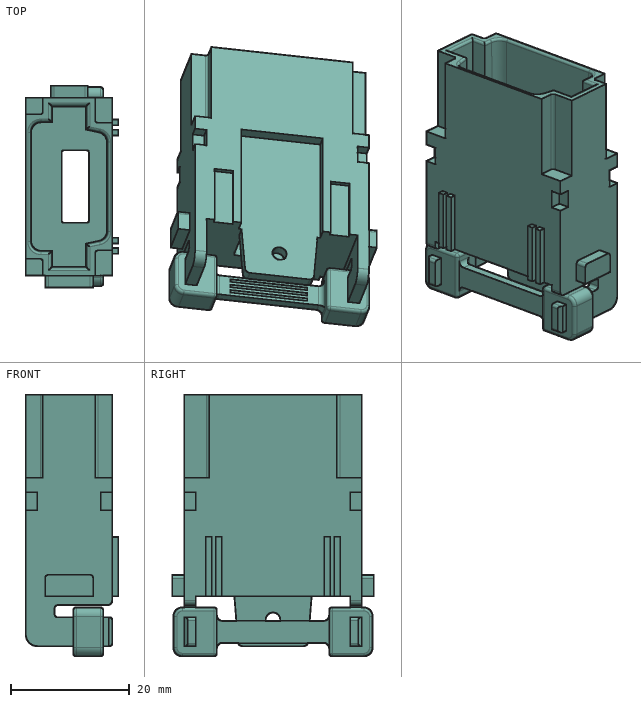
import cadquery as cq

body_x = 14.6
body_y = 30.0
height = 44.1
overall_y = 34.0
half_y = body_y / 2
body_bottom = 10.15
wall = 2.0
lug_reach = (overall_y - body_y) / 2
leg_bottom = 1.7
edge_radius = 0.57

step_z = 30.1
step_x = 2.9
step_y_left = 2.82
step_y_right = 4.25
step_radius = 0.5

floor_z = step_z
cavity_left = 0.75
cavity_right = body_x - cavity_left
arm_left = 4.28
arm_right = 10.3
arm_half_y = 13.65
shoulder_left_y = 11.0
shoulder_right_y = 9.75
shoulder_right_drop = 0.75
cavity_radius = 1.8
cavity_draft = 0.18
rim_radius = 0.45

window_left = 6.1
window_right = 10.65
window_y = 12.15
window_radius = 0.3

notch_size = wall
notch_bottom = 24.6
notch_top = 27.65

recess_depth = 2.1
recess_y = 14.02
recess_top = 28.5
guide_top = 20.15
pocket_inner_y = 8.4
pocket_outer_y = 11.65
pocket_depth = 0.8
rib_inner_ys = (8.6, 10.3)
rib_width = 1.0
rib_height = 1.0

lug_top = 13.75
front_lug_left = 3.25
front_lug_right = 11.38
back_lug_left = 4.2
back_lug_right = 10.5

slot_left = 4.9
slot_bottom = 6.6
slot_top = 8.65
slot_radius = 0.55
leg_heel_radius = 2.0
wall_corner_radius = 0.8
leg_tip_radius = 0.5
leg_lead_in = 0.6

tongue_thickness = 2.0
tongue_top_half_y = 6.53
tongue_bottom_half_y = 5.85
tongue_corner_radius = 0.8
tongue_hole_z = 6.17
tongue_hole_diameter = 2.43

block_left = 8.0
block_right = 13.1
block_height = 8.3
block_reach = 1.8
block_outer_y = half_y + block_reach
block_inner_y = 9.45
block_radius = 1.55
bar_left = 10.9
bar_right = block_right - edge_radius
bar_z = block_height / 2
bar_height = 3.75
bar_fillet = 0.9
grip_half_y = 6.6
grip_pitch = 1.05
grip_radius = 0.243


def box(x0, x1, y0, y1, z0, z1):
    """Box between two corners."""
    return cq.Workplane("XY").box(x1 - x0, y1 - y0, z1 - z0, centered=False).translate((x0, y0, z0))


def both_ends(shape):
    """A shape together with its mirror image across Y = 0."""
    return shape.union(shape.mirror("XZ"))


def corner_steps():
    """Material removed at the four vertical corners of the mating end."""
    left = box(0, step_x, half_y - step_y_left, half_y, step_z, height)
    left = left.edges("|Z and >X and <Y").fillet(step_radius)
    right = box(body_x - step_x, body_x, half_y - step_y_right, half_y, step_z, height)
    right = right.edges("|Z and <X and <Y").fillet(step_radius)
    return both_ends(left.union(right))


def cavity():
    """Keyed mating cavity: a wide chamber with a narrower arm at each end."""
    wall_y = shoulder_right_y - shoulder_right_drop
    half = [
        (cavity_left, shoulder_left_y),
        (arm_left, shoulder_left_y),
        (arm_left, arm_half_y),
        (arm_right, arm_half_y),
        (arm_right, shoulder_right_y),
        (cavity_right, wall_y),
    ]
    outline = half + [(x, -y) for x, y in reversed(half)]
    depth = height - floor_z
    prism = cq.Workplane("XY").workplane(offset=floor_z).polyline(outline).close().extrude(depth)
    prism = prism.edges("|Z and (<X or >X)").fillet(cavity_radius)
    mouth = prism.faces(">Z").wires().val()
    floor = mouth.offset2D(-cavity_draft, "intersection")[0].translate(cq.Vector(0, 0, -depth))
    return cq.Workplane(cq.Solid.makeLoft([floor, mouth], True))


def window():
    """Opening from the cavity floor to the underside of the body."""
    opening = box(window_left, window_right, -window_y / 2, window_y / 2, body_bottom, floor_z)
    return opening.edges("|Z").fillet(window_radius)


def latch_notches():
    """Square notches in the four vertical corners below the step."""
    left = box(0, notch_size, half_y - notch_size, half_y, notch_bottom, notch_top)
    right = box(body_x - notch_size, body_x, half_y - notch_size, half_y, notch_bottom, notch_top)
    return both_ends(left.union(right))


def leg():
    """Side wall on the +Y side below the body, ending in a slotted leg."""
    plate = box(0, body_x, half_y - wall, half_y, leg_bottom, body_bottom)
    slot = box(slot_left, body_x, half_y - wall, half_y, slot_bottom, slot_top)
    slot = slot.edges("|Y and <X").fillet(slot_radius)
    plate = plate.edges("|Y and <X and <Z").fillet(leg_heel_radius).cut(slot)

    def end_corner(z):
        return cq.selectors.NearestToPointSelector((body_x, half_y - wall / 2, z))

    plate = plate.edges(end_corner(slot_top)).fillet(wall_corner_radius)
    for z in (slot_bottom, leg_bottom):
        plate = plate.edges(end_corner(z)).fillet(leg_tip_radius)
    lead_in = (
        cq.Workplane("XY")
        .workplane(offset=leg_bottom)
        .polyline([(body_x - leg_lead_in, half_y), (body_x, half_y), (body_x, half_y - leg_lead_in)])
        .close()
        .extrude(slot_bottom - leg_bottom)
    )
    return plate.cut(lead_in)


def lug(left, right):
    """Lug on the +Y end face with rounded upper corners."""
    block = box(left, right, half_y, half_y + lug_reach, body_bottom, lug_top)
    return block.edges("|Y and >Z").fillet(edge_radius)


def tongue():
    """Tapered cable tongue hanging below the panel recess."""
    outline = [
        (-tongue_top_half_y, body_bottom),
        (-tongue_bottom_half_y, leg_bottom),
        (tongue_bottom_half_y, leg_bottom),
        (tongue_top_half_y, body_bottom),
    ]
    plate = cq.Workplane("YZ").workplane(offset=recess_depth).polyline(outline).close()
    plate = plate.extrude(tongue_thickness)
    plate = plate.edges("|X and <Z").fillet(tongue_corner_radius)
    hole = (
        cq.Workplane("YZ")
        .workplane(offset=recess_depth)
        .center(0, tongue_hole_z)
        .circle(tongue_hole_diameter / 2)
        .extrude(tongue_thickness)
    )
    return plate.cut(hole)


def cross_bar():
    """Cross bar whose -X, upper and lower faces flare into the end blocks."""
    bottom = bar_z - bar_height / 2
    top = bar_z + bar_height / 2
    flare_y = block_inner_y - bar_fillet
    bar = box(bar_left, bar_right, -block_inner_y, block_inner_y, bottom, top)
    foot_left = bar_left - bar_fillet
    foot_bottom = bottom - bar_fillet
    foot_top = top + bar_fillet
    foot = box(foot_left, bar_right, flare_y, block_inner_y, foot_bottom, foot_top)
    foot = foot.cut(cq.Workplane("XY").center(foot_left, flare_y).circle(bar_fillet).extrude(block_height))
    for z in (foot_bottom, foot_top):
        foot = foot.cut(cq.Workplane("YZ").center(flare_y, z).circle(bar_fillet).extrude(body_x))
    return bar.union(both_ends(foot))


def clamp():
    """Rounded end blocks joined by a cross bar with grip ribs facing the tongue."""
    block = box(block_left, block_right, block_inner_y, block_outer_y, 0, block_height)
    block = block.edges("|X and >Y").fillet(block_radius)
    block = block.edges().fillet(edge_radius)
    shape = both_ends(block).union(cross_bar())
    for z in (bar_z - grip_pitch, bar_z, bar_z + grip_pitch):
        grip = cq.Workplane("XZ").center(bar_left, z).circle(grip_radius)
        shape = shape.union(grip.extrude(grip_half_y, both=True))
    return shape


housing = box(0, body_x, -half_y, half_y, body_bottom, height)
housing = housing.cut(corner_steps()).cut(cavity())
rim = housing.faces(">Z").val().innerWires()[0]
housing = housing.newObject(rim.Edges()).fillet(rim_radius)
housing = housing.cut(window()).cut(latch_notches())

housing = housing.cut(box(0, recess_depth, -recess_y / 2, recess_y / 2, body_bottom, recess_top))
housing = housing.cut(both_ends(box(0, pocket_depth, pocket_inner_y, pocket_outer_y, body_bottom, guide_top)))

for y in rib_inner_ys:
    rib = box(body_x, body_x + rib_height, y, y + rib_width, body_bottom, guide_top)
    housing = housing.union(both_ends(rib))

housing = housing.union(lug(back_lug_left, back_lug_right))
housing = housing.union(lug(front_lug_left, front_lug_right).mirror("XZ"))
housing = housing.union(both_ends(leg())).union(tongue()).union(clamp())

result = housing